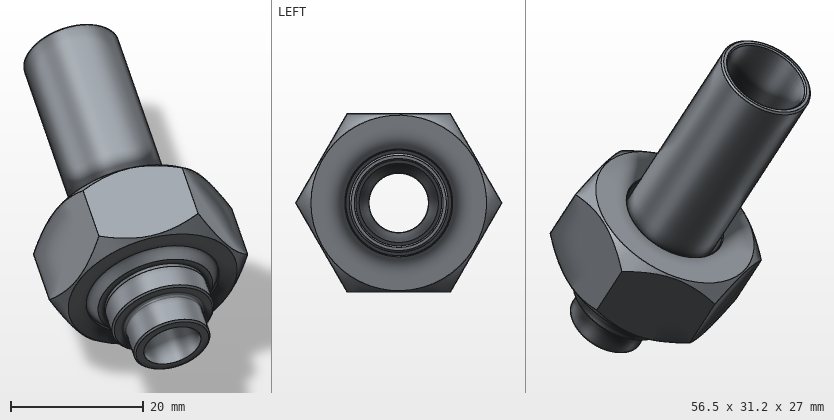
import cadquery as cq


nut_start = 32.1
nut_width = 13.45
nut_end = nut_start + nut_width
nut_across_flats = 27.0
nut_chamfer_diameter = 26.55
nut_hole_diameter = 16.0
nut_hole_chamfer = 0.15

tube_diameter = 15.0
tube_bore_diameter = 13.0
tube_end_chamfer = 0.3
tube_bore_chamfer = 0.2
collar_diameter = 20.9
collar_start = 38.7
cone_start = 45.05
cone_end = 47.0
cone_end_diameter = 18.0
tube_end = 47.6

shoulder_diameter = 16.0
shoulder_end = 51.4
shoulder_chamfer = 0.3
spigot_diameter = 12.0
spigot_end = 56.5
spigot_root_fillet = 0.5
spigot_chamfer = 0.3
fitting_bore_diameter = 9.0
funnel_diameter = 12.0
funnel_length = 2.25


def cylinder(diameter, start, end):
    """Solid cylinder along X between two stations."""
    return cq.Workplane("YZ", origin=(start, 0, 0)).circle(diameter / 2).extrude(end - start)


def cone(start_diameter, end_diameter, start, end):
    """Solid frustum along X between two stations."""
    outline = [(start, 0), (start, start_diameter / 2), (end, end_diameter / 2), (end, 0)]
    return cq.Workplane("XY").polyline(outline).close().revolve(360, (0, 0, 0), (1, 0, 0))


def make_nut():
    """Hexagon with corners on Y, both ends turned to 45 degree chamfers."""
    hexagon = (
        cq.Workplane("YZ", origin=(nut_start, 0, 0))
        .polygon(6, nut_across_flats, circumscribed=True)
        .extrude(nut_width)
        .rotate((0, 0, 0), (1, 0, 0), 90)
    )
    nut_middle = nut_start + nut_width / 2
    middle_diameter = nut_chamfer_diameter + nut_width
    envelope = cone(nut_chamfer_diameter, middle_diameter, nut_start, nut_middle).union(
        cone(middle_diameter, nut_chamfer_diameter, nut_middle, nut_end)
    )
    tube_hole = cylinder(nut_hole_diameter, nut_start, nut_end)
    hole_chamfer = cone(
        nut_hole_diameter + 2 * nut_hole_chamfer, nut_hole_diameter, nut_start, nut_start + nut_hole_chamfer
    )
    collar_recess = cylinder(collar_diameter, collar_start, nut_end)
    return hexagon.intersect(envelope).cut(tube_hole).cut(hole_chamfer).cut(collar_recess)


def make_tube():
    """Tube, collar, sealing cone and the short land that meets the end fitting."""
    barrel = cylinder(tube_diameter, 0, collar_start).faces("<X").edges().chamfer(tube_end_chamfer)
    collar = cylinder(collar_diameter, collar_start, cone_start)
    sealing_cone = cone(collar_diameter, cone_end_diameter, cone_start, cone_end)
    land = cylinder(shoulder_diameter, cone_end, tube_end)
    bore = cylinder(tube_bore_diameter, 0, tube_end)
    bore_chamfer = cone(
        tube_bore_diameter + 2 * tube_bore_chamfer, tube_bore_diameter, 0, tube_bore_chamfer
    )
    return barrel.union(collar).union(sealing_cone).union(land).cut(bore).cut(bore_chamfer)


def make_end_fitting():
    """Shoulder and spigot with a bore that funnels in from the tube side."""
    shoulder = cylinder(shoulder_diameter, tube_end, shoulder_end)
    shoulder = shoulder.faces(">X").edges().chamfer(shoulder_chamfer)
    spigot = cylinder(spigot_diameter, shoulder_end, spigot_end)
    spigot = spigot.faces(">X").edges().chamfer(spigot_chamfer)
    reach = spigot_diameter / 2 + spigot_root_fillet
    around_root = cq.selectors.BoxSelector(
        (shoulder_end - shoulder_chamfer / 2, -reach, -reach),
        (shoulder_end + shoulder_chamfer / 2, reach, reach),
    )
    smallest_circle = cq.selectors.RadiusNthSelector(0)
    body = shoulder.union(spigot).edges(around_root).edges(smallest_circle).fillet(spigot_root_fillet)
    bore = cylinder(fitting_bore_diameter, tube_end, spigot_end)
    funnel = cone(funnel_diameter, fitting_bore_diameter, tube_end, tube_end + funnel_length)
    return body.cut(bore).cut(funnel)


nut = make_nut()
tube = make_tube()
end_fitting = make_end_fitting()
result = cq.Compound.makeCompound([nut.val(), tube.val(), end_fitting.val()])